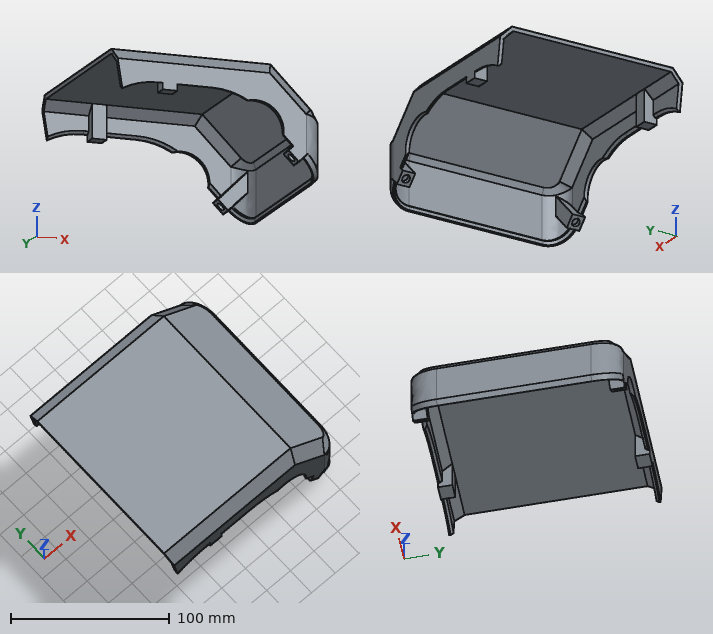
import cadquery as cq
import math

length = 141.0
width = 135.8
height = 73.0
wall = 2.8
side_chamfer = 8.0
corner_radius = 18.3
ramp_start = 106.8
back_lean = 4.4
foot_depth = 27.2

arch_depth = 21.2
arch_back = 28.2
arch_front = 64.9
arch_end = 88.7
notch_center = (93.9, -45.5)

lip_depth = 4.1
edge_chamfer = 1.8

boss_width = 9.3
boss_length = 9.7
boss_drop = 4.4
rear_boss_start = 31.6
front_boss_start = 122.7
hole_diameter = 5.4
hole_depth = 3.2
hole_from_side = 4.7

root2 = math.sqrt(2)
inner_chamfer = side_chamfer - wall * (2 - root2)

corner_steps = 5
outside_reach = 1.1
tolerance = 0.01
margin = 28.2

edge_level = (root2 * (length - height) - lip_depth) / 2
lip_level = edge_level + lip_depth
nose_reach = root2 * length - lip_level

ramp_normal = cq.Vector(1, 0, 1).normalized()
ramp_frame = cq.Plane(origin=(0, 0, 0), xDir=(1, 0, -1), normal=(1, 0, 1))


def bevel_section(center, roof_normal, wall_normal, bevel):
    """Triangle removed by the bevel; a ball at center would touch roof and wall at its inner corners."""
    roof_touch = center + roof_normal * bevel
    wall_touch = center + wall_normal * bevel
    outside = center + (roof_normal + wall_normal) * (bevel * outside_reach)
    return cq.Wire.makePolygon([roof_touch, wall_touch, outside], close=True)


def bevel_side(block, side, inset, back, bevel):
    """Cut the bevel along one top edge, down the ramp and round the nose corner."""
    half = width / 2 - inset
    radius = corner_radius - inset
    run = radius / root2
    bend = ramp_start - inset * (root2 - 1)
    slope = math.tan(math.pi / 8)
    wall_normal = cq.Vector(0, side, 0)
    top_normal = cq.Vector(0, 0, 1)
    bend_normal = cq.Vector(slope, 0, 1)
    center_y = side * (half - bevel)
    top_center = cq.Vector(back, center_y, -inset - bevel)
    bend_center = cq.Vector(bend - slope * bevel, center_y, -inset - bevel)

    around = []
    for step in range(corner_steps + 1):
        angle = math.pi / 2 * (1 - step / corner_steps)
        across = cq.Vector(math.cos(angle) / run, side * math.sin(angle) / radius, 0).normalized()
        x = length - inset - run * (1 - math.cos(angle)) - bevel * across.x
        y = side * (half - radius * (1 - math.sin(angle))) - bevel * across.y
        center = cq.Vector(x, y, bend - inset - x - root2 * bevel)
        around.append(bevel_section(center, ramp_normal, across, bevel))

    bend_section = bevel_section(bend_center, bend_normal, wall_normal, bevel)
    top_section = bevel_section(top_center, top_normal, wall_normal, bevel)
    block = block.cut(cq.Workplane(cq.Solid.makeLoft([top_section, bend_section], True)))
    block = block.cut(cq.Workplane(cq.Solid.makeLoft([bend_section, around[0]], True)))
    return block.cut(cq.Workplane(cq.Solid.makeLoft(around)))


def bevelled_block(inset, back, bevel, depth):
    """Solid bounded by the top, ramp and nose faces moved inwards by inset."""
    half = width / 2 - inset
    front = length - inset
    radius = corner_radius - inset
    run = radius / root2
    bend = ramp_start - inset * (root2 - 1)
    plan = (
        cq.Workplane("XY")
        .moveTo(back, -half)
        .lineTo(front - run, -half)
        .ellipseArc(run, radius, -90, 0, startAtCurrent=True)
        .lineTo(front, half - radius)
        .ellipseArc(run, radius, 0, 90, startAtCurrent=True)
        .lineTo(back, half)
        .close()
        .extrude(-depth)
    )
    ramp_end = length + margin
    profile = (
        cq.Workplane("XZ")
        .polyline([(back, -inset), (bend, -inset), (ramp_end, bend - inset - ramp_end),
                   (ramp_end, -depth), (back, -depth)])
        .close()
        .extrude(width, both=True)
    )
    block = plan.intersect(profile)
    for side in (-1, 1):
        block = bevel_side(block, side, inset, back, bevel)
    front_center = cq.Vector(front - bevel, 0, bend - inset - front + bevel * (1 - root2))
    ends = []
    for side in (-1, 1):
        center = front_center + cq.Vector(0, side * (half - radius), 0)
        ends.append(bevel_section(center, ramp_normal, cq.Vector(1, 0, 0), bevel))
    return block.cut(cq.Workplane(cq.Solid.makeLoft(ends, True)))


def ramp_box(start, end, low, high, box_width, y_center=0):
    """Box given by its span down the ramp and its levels square to the ramp."""
    return (
        cq.Workplane(ramp_frame)
        .box(end - start, box_width, high - low)
        .translate(ramp_frame.toWorldCoords(((start + end) / 2, y_center, (low + high) / 2)))
    )


def square_ended(block, inset):
    """Turn the lower end of a bevelled block square to the ramp, moved inwards by inset."""
    slab_start = front_boss_start
    end = nose_reach - inset
    level = root2 * (length - inset) - end
    low = edge_level - margin
    below_rim = ramp_box(slab_start, 2 * length, -length, level, 2 * width)
    rim = ramp_box(slab_start, end, low, level, width - 2 * inset)
    rim_end = rim.faces(cq.selectors.DirectionMinMaxSelector(cq.Vector(1, 0, -1)))
    upright = cq.selectors.ParallelDirSelector(cq.Vector(1, 0, 1))
    rim = rim.newObject(rim_end.edges(upright).vals()).fillet(corner_radius - inset)
    return block.cut(below_rim).union(rim)


def shell():
    """Hollow cover with its lower edge still untrimmed."""
    depth = height + 2 * margin
    outer = square_ended(envelope, 0)
    inner = square_ended(bevelled_block(wall, -margin, inner_chamfer, depth), wall)
    return outer.cut(inner)


def arc_middle(center, start, end):
    """Point halfway along the short arc from start to end."""
    radius = math.dist(center, start)
    x = start[0] + end[0] - 2 * center[0]
    z = start[1] + end[1] - 2 * center[1]
    reach = radius / math.hypot(x, z)
    return (center[0] + x * reach, center[1] + z * reach)


def side_profile():
    """Region kept by the leaning back edge and the arched lower edge of the side walls."""
    foot = (back_lean, -foot_depth)
    back_point = (arch_back, -arch_depth)
    front_point = (arch_front, -arch_depth)

    drop = foot_depth - arch_depth
    radius = ((arch_back - back_lean) ** 2 + drop ** 2) / (2 * drop)
    arch_run = arch_end - arch_front
    front_drop = radius - math.sqrt(radius ** 2 - arch_run ** 2)
    notch_start = (arch_end, -arch_depth - front_drop)

    notch_radius = math.dist(notch_center, notch_start)
    notch_level = (notch_center[0] + notch_center[1]) / root2
    notch_reach = (notch_center[0] - notch_center[1]) / root2
    exit_reach = notch_reach + math.sqrt(notch_radius ** 2 - (edge_level - notch_level) ** 2)
    notch_end = ((edge_level + exit_reach) / root2, (edge_level - exit_reach) / root2)
    far_x = length + margin

    return (
        cq.Workplane("XZ")
        .moveTo(0, 0)
        .lineTo(*foot)
        .threePointArc(arc_middle((arch_back, -arch_depth - radius), foot, back_point), back_point)
        .lineTo(*front_point)
        .threePointArc(arc_middle((arch_front, -arch_depth - radius), front_point, notch_start), notch_start)
        .threePointArc(arc_middle(notch_center, notch_start, notch_end), notch_end)
        .lineTo(far_x, edge_level * root2 - far_x)
        .lineTo(far_x, 0)
        .close()
        .extrude(width, both=True)
    )


def rear_boss(side):
    """Upright boss standing from the roof along one side wall."""
    boss_height = arch_depth + boss_drop
    center_x = rear_boss_start + boss_length / 2
    center_y = side * (width - boss_width) / 2
    return (
        cq.Workplane("XY")
        .box(boss_length, boss_width, boss_height)
        .translate((center_x, center_y, -boss_height / 2))
    )


def front_boss(side):
    """Boss square to the ramp, reaching up to the nose along one side wall."""
    center_y = side * (width - boss_width) / 2
    end = front_boss_start + boss_length
    return ramp_box(front_boss_start, end, edge_level - boss_drop, length, boss_width, center_y)


def screw_hole(side):
    """Blind hole in the lower face of a front boss, square to the ramp."""
    mouth = (front_boss_start + boss_length / 2, side * (width / 2 - hole_from_side), edge_level - boss_drop)
    return (
        cq.Workplane(cq.Plane(ramp_frame.toWorldCoords(mouth), ramp_frame.xDir, ramp_frame.zDir))
        .circle(hole_diameter / 2)
        .extrude(hole_depth)
    )


def inner_lower_edges(walls):
    """Inside edges of the trimmed underside, leaving the round notches sharp."""
    inner_half = width / 2 - wall
    foot_x = back_lean - tolerance
    chosen = []
    for edge in walls.edges("%LINE or %CIRCLE").vals():
        points = [edge.positionAt(place) for place in (0, 0.5, 1)]
        on_rim = all(
            abs(point.x + point.z - root2 * edge_level) < tolerance
            and abs(point.y) < inner_half + tolerance
            and point.x - point.z < root2 * (nose_reach - wall) + tolerance
            for point in points
        )
        on_arch = all(
            abs(abs(point.y) - inner_half) < tolerance
            and point.z < -arch_depth + tolerance
            and foot_x < point.x < arch_end + tolerance
            for point in points
        )
        if on_rim or on_arch:
            chosen.append(edge)
    return chosen


envelope = bevelled_block(0, 0, side_chamfer, height + margin)
walls = shell().intersect(side_profile())
result = walls.newObject(inner_lower_edges(walls)).chamfer(edge_chamfer)
for side in (-1, 1):
    result = result.union(rear_boss(side).intersect(envelope))
    result = result.union(front_boss(side).intersect(envelope))
    result = result.cut(screw_hole(side))